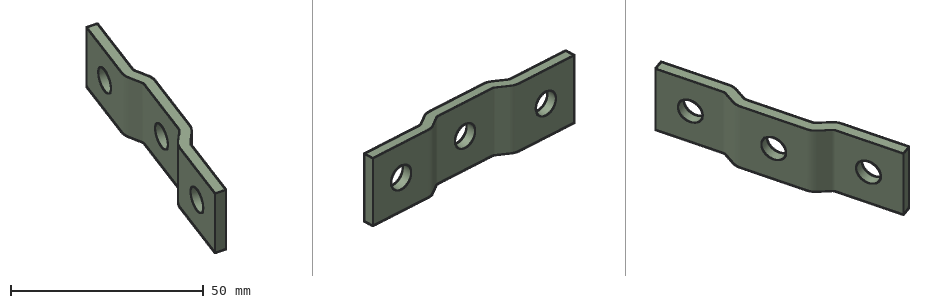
import cadquery as cq
import math

length = 73.0
depth = 6.35
height = 20.7
thickness = 3.2
hole_diameter = 7.2
hole_spacing = 26.2
inner_bend_radius = 1.5
outer_bend_radius = inner_bend_radius + thickness
bend_angle = math.radians(32.3)

level_offset = depth - thickness
corner_shift = thickness * math.tan(bend_angle / 2)
front_inner_corner = 10.2
front_outer_corner = front_inner_corner + level_offset / math.tan(bend_angle)
back_inner_corner = front_outer_corner + corner_shift
back_outer_corner = front_inner_corner + corner_shift

end_front = -depth / 2
end_back = end_front + thickness
middle_back = depth / 2
middle_front = middle_back - thickness


def bent_strap():
    """Extrude the offset strap outline along Z, then round its bends."""
    half_length = length / 2
    right_half = [
        (front_inner_corner, middle_front),
        (front_outer_corner, end_front),
        (half_length, end_front),
        (half_length, end_back),
        (back_inner_corner, end_back),
        (back_outer_corner, middle_back),
    ]
    left_half = [(-x, y) for x, y in reversed(right_half)]
    strap = (
        cq.Workplane("XY")
        .polyline(right_half + left_half)
        .close()
        .extrude(height / 2, both=True)
    )
    bends = [
        (front_outer_corner, end_front, outer_bend_radius),
        (back_outer_corner, middle_back, outer_bend_radius),
        (front_inner_corner, middle_front, inner_bend_radius),
        (back_inner_corner, end_back, inner_bend_radius),
    ]
    for x, y, radius in bends:
        for side in (-1, 1):
            bend_edge = cq.selectors.NearestToPointSelector((side * x, y, 0))
            strap = strap.edges("|Z").edges(bend_edge).fillet(radius)
    return strap


def bolt_holes():
    """Three round cutters in a row, running through the strap along Y."""
    return (
        cq.Workplane("XZ")
        .pushPoints([(i * hole_spacing, 0) for i in (-1, 0, 1)])
        .circle(hole_diameter / 2)
        .extrude(depth, both=True)
    )


result = bent_strap().cut(bolt_holes())